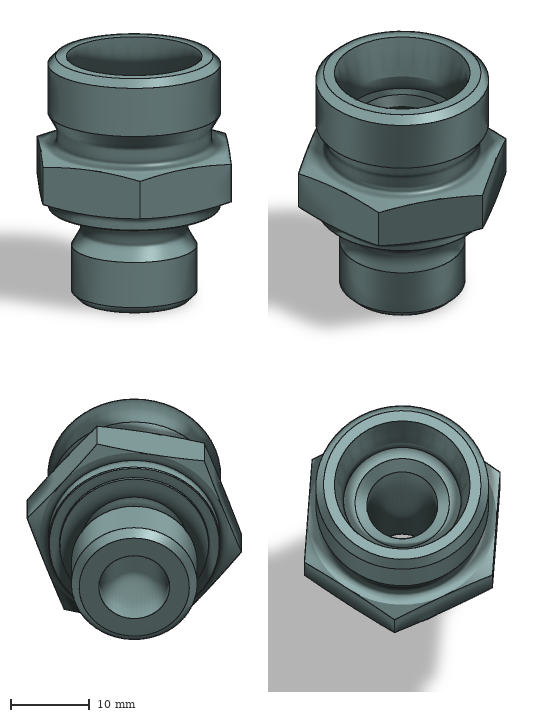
import cadquery as cq
import math

TOTAL_HEIGHT = 32.0
HEX_BOTTOM = 14.0
HEX_TOP = 20.0
COLLAR_BOTTOM = 12.03
UPPER_THREAD_BOTTOM = 24.6
LOWER_THREAD_TOP = 6.98

UPPER_THREAD_DIAMETER = 22.0
UPPER_NECK_DIAMETER = 19.7
COLLAR_DIAMETER = 21.9
LOWER_NECK_DIAMETER = 13.7
LOWER_THREAD_DIAMETER = 16.0
END_CHAMFER = 1.0
COLLAR_CHAMFER = 0.13

RUNOUT_ANGLE = math.radians(30)
UPPER_BLEND_RADIUS = 1.0
LOWER_BLEND_RADIUS = 1.25

HEX_ACROSS_FLATS = 24.0
HEX_ACROSS_CORNERS = HEX_ACROSS_FLATS / math.cos(math.radians(30))
HEX_CHAMFER_HEIGHT = 0.5

BORE_DIAMETER = 9.0
COUNTERSINK_DIAMETER = 12.0
COUNTERSINK_DEPTH = 0.85
SEAT_DIAMETER = 15.0
SEAT_DEPTH = 7.0
CONE_MOUTH_DIAMETER = 17.25
CONE_ANGLE = math.radians(12)
CONE_DEPTH = (CONE_MOUTH_DIAMETER - SEAT_DIAMETER) / 2 / math.tan(CONE_ANGLE)

RECESS_DIAMETER = 19.0
RING_OUTER_DIAMETER = 18.9
RING_INNER_DIAMETER = 13.8
RING_THICKNESS = 1.5
RING_PROTRUSION = 0.35
RING_BOTTOM = COLLAR_BOTTOM - RING_PROTRUSION
RECESS_TOP = RING_BOTTOM + RING_THICKNESS


def revolve_about_z(profile):
    """Close a radius-height profile drawn in XZ and turn it about Z."""
    return profile.close().revolve(360, (0, 0, 0), (0, 1, 0))


def runout_blend(neck_radius, thread_radius, blend_radius):
    """Return the blend's middle and end radius, and its half-way, end and runout-end offsets along Z.

    Offsets are measured from where the blend leaves the neck, toward the thread.
    """
    middle_radius = neck_radius + blend_radius * (1 - math.cos(RUNOUT_ANGLE / 2))
    end_radius = neck_radius + blend_radius * (1 - math.cos(RUNOUT_ANGLE))
    middle_offset = blend_radius * math.sin(RUNOUT_ANGLE / 2)
    end_offset = blend_radius * math.sin(RUNOUT_ANGLE)
    thread_offset = end_offset + (thread_radius - end_radius) / math.tan(RUNOUT_ANGLE)
    return middle_radius, end_radius, middle_offset, end_offset, thread_offset


def make_upper_stub():
    """Threaded tube end with its undercut, standing on the hexagon."""
    thread_radius = UPPER_THREAD_DIAMETER / 2
    neck_radius = UPPER_NECK_DIAMETER / 2
    mid_radius, end_radius, mid_offset, end_offset, thread_offset = runout_blend(
        neck_radius, thread_radius, UPPER_BLEND_RADIUS
    )
    blend_start = UPPER_THREAD_BOTTOM - thread_offset
    fillet_inset = UPPER_BLEND_RADIUS * (1 - math.sqrt(0.5))
    profile = (
        cq.Workplane("XZ")
        .moveTo(0, HEX_TOP)
        .lineTo(neck_radius + UPPER_BLEND_RADIUS, HEX_TOP)
        .threePointArc(
            (neck_radius + fillet_inset, HEX_TOP + fillet_inset),
            (neck_radius, HEX_TOP + UPPER_BLEND_RADIUS),
        )
        .lineTo(neck_radius, blend_start)
        .threePointArc((mid_radius, blend_start + mid_offset), (end_radius, blend_start + end_offset))
        .lineTo(thread_radius, UPPER_THREAD_BOTTOM)
        .lineTo(thread_radius, TOTAL_HEIGHT - END_CHAMFER)
        .lineTo(thread_radius - END_CHAMFER, TOTAL_HEIGHT)
        .lineTo(0, TOTAL_HEIGHT)
    )
    return revolve_about_z(profile)


def make_lower_stub():
    """Screw-in end with its undercut, and the collar under the hexagon."""
    thread_radius = LOWER_THREAD_DIAMETER / 2
    neck_radius = LOWER_NECK_DIAMETER / 2
    collar_radius = COLLAR_DIAMETER / 2
    mid_radius, end_radius, mid_offset, end_offset, thread_offset = runout_blend(
        neck_radius, thread_radius, LOWER_BLEND_RADIUS
    )
    blend_start = LOWER_THREAD_TOP + thread_offset
    profile = (
        cq.Workplane("XZ")
        .lineTo(thread_radius - END_CHAMFER, 0)
        .lineTo(thread_radius, END_CHAMFER)
        .lineTo(thread_radius, LOWER_THREAD_TOP)
        .lineTo(end_radius, blend_start - end_offset)
        .threePointArc((mid_radius, blend_start - mid_offset), (neck_radius, blend_start))
        .lineTo(neck_radius, RECESS_TOP)
        .lineTo(RECESS_DIAMETER / 2, RECESS_TOP)
        .lineTo(RECESS_DIAMETER / 2, COLLAR_BOTTOM)
        .lineTo(collar_radius - COLLAR_CHAMFER, COLLAR_BOTTOM)
        .lineTo(collar_radius, COLLAR_BOTTOM + COLLAR_CHAMFER)
        .lineTo(collar_radius, HEX_BOTTOM)
        .lineTo(0, HEX_BOTTOM)
    )
    return revolve_about_z(profile)


def make_hexagon():
    """Wrench hexagon, two flats facing X, with conical chamfers on its corners."""
    prism = (
        cq.Workplane("XY", origin=(0, 0, HEX_BOTTOM))
        .polygon(6, HEX_ACROSS_CORNERS)
        .extrude(HEX_TOP - HEX_BOTTOM)
        .rotate((0, 0, 0), (0, 0, 1), 30)
    )
    flat_radius = HEX_ACROSS_FLATS / 2
    corner_radius = HEX_ACROSS_CORNERS / 2
    corner_trim = revolve_about_z(
        cq.Workplane("XZ")
        .moveTo(0, HEX_BOTTOM)
        .lineTo(flat_radius, HEX_BOTTOM)
        .lineTo(corner_radius, HEX_BOTTOM + HEX_CHAMFER_HEIGHT)
        .lineTo(corner_radius, HEX_TOP - HEX_CHAMFER_HEIGHT)
        .lineTo(flat_radius, HEX_TOP)
        .lineTo(0, HEX_TOP)
    )
    return prism.intersect(corner_trim)


def make_bore():
    """Through bore with countersink, tube seat and sealing cone at the top."""
    seat_height = TOTAL_HEIGHT - SEAT_DEPTH
    profile = (
        cq.Workplane("XZ")
        .lineTo(BORE_DIAMETER / 2, 0)
        .lineTo(BORE_DIAMETER / 2, seat_height - COUNTERSINK_DEPTH)
        .lineTo(COUNTERSINK_DIAMETER / 2, seat_height)
        .lineTo(SEAT_DIAMETER / 2, seat_height)
        .lineTo(SEAT_DIAMETER / 2, TOTAL_HEIGHT - CONE_DEPTH)
        .lineTo(CONE_MOUTH_DIAMETER / 2, TOTAL_HEIGHT)
        .lineTo(0, TOTAL_HEIGHT)
    )
    return revolve_about_z(profile)


def make_fitting():
    outside = make_lower_stub().union(make_hexagon()).union(make_upper_stub())
    return outside.cut(make_bore())


def make_sealing_ring():
    return (
        cq.Workplane("XY", origin=(0, 0, RING_BOTTOM))
        .circle(RING_OUTER_DIAMETER / 2)
        .circle(RING_INNER_DIAMETER / 2)
        .extrude(RING_THICKNESS)
    )


fitting = make_fitting()
sealing_ring = make_sealing_ring()

result = cq.Compound.makeCompound([fitting.val(), sealing_ring.val()])